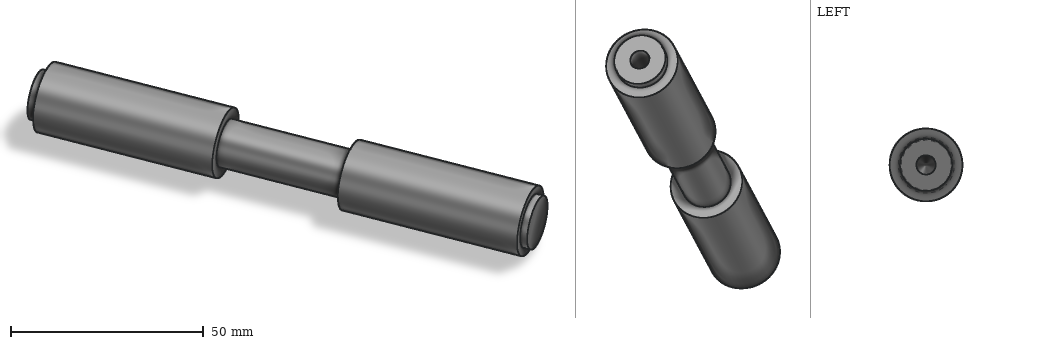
import cadquery as cq
import math

total_length = 139.6
roller_diameter = 19.0
roller_length = 50.0
neck_length = 35.0
neck_diameter = 13.0

left_spigot_diameter = 13.5
right_spigot_diameter = 14.5
rollers_span = 2 * roller_length + neck_length
left_spigot_length = 2.7
right_spigot_length = total_length - rollers_span - left_spigot_length

hole_diameter = 5.0
hole_depth = 14.0
drill_point_angle = 118.0


def cylinder(start_x, length, diameter):
    """Solid cylinder along +X from start_x."""
    return cq.Workplane("YZ", origin=(start_x, 0, 0)).circle(diameter / 2).extrude(length)


def drilled_hole(start_x):
    """Cutter for a blind hole along +X with a conical bottom."""
    radius = hole_diameter / 2
    point_length = radius / math.tan(math.radians(drill_point_angle / 2))
    return (
        cq.Workplane("XY", origin=(start_x, 0, 0))
        .polyline([(0, 0), (0, radius), (hole_depth, radius), (hole_depth + point_length, 0)])
        .close()
        .revolve(360, (0, 0, 0), (1, 0, 0))
    )


sections = [
    (left_spigot_length, left_spigot_diameter),
    (roller_length, roller_diameter),
    (neck_length, neck_diameter),
    (roller_length, roller_diameter),
    (right_spigot_length, right_spigot_diameter),
]

left_end = -total_length / 2
shaft = cq.Workplane("YZ")
section_start = left_end
for length, diameter in sections:
    shaft = shaft.union(cylinder(section_start, length, diameter))
    section_start += length

result = shaft.cut(drilled_hole(left_end))